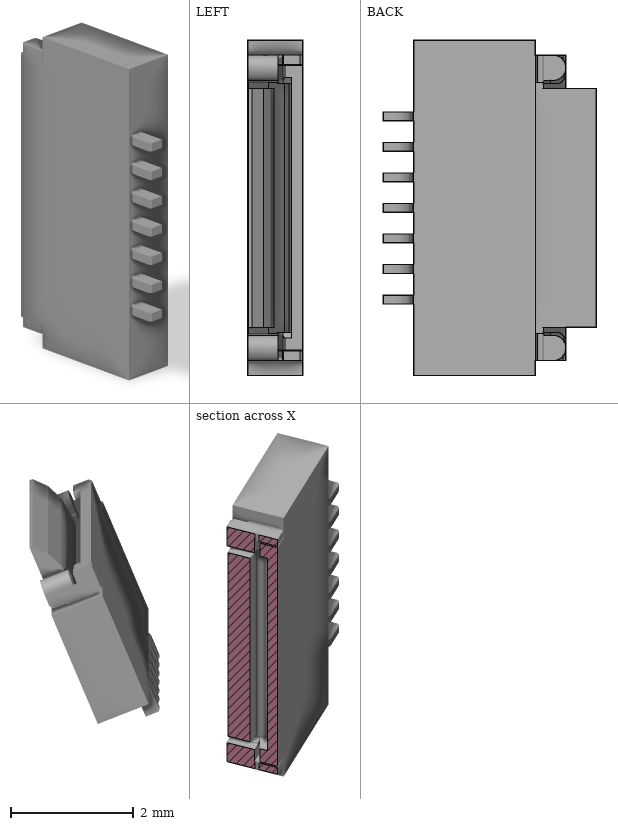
import cadquery as cq
import math


length = 5.5
height = 0.9
total_depth = 3.5
tray_front = 0.5
housing_front = 1.0
housing_back = 3.0

tray_half_length = 2.33
mouth_half_length = 2.135
throat_half_length = 2.04
throat_front = 0.605
floor_height = 0.185
floor_lip_height = 0.225
floor_lip_run = 0.015
ramp_top_height = 0.295
floor_ramp_run = 0.07
cheek_height = 0.325
cheek_chamfer = 0.035
cheek_rear_height = 0.42

clip_outer = 2.5
clip_foot_inner = 2.35
foot_height = 0.335
foot_chamfer = 0.045
foot_lip_run = 0.05
foot_lip_drop = 0.015
slit_end = 0.755
arm_bottom = 0.405
arm_radius = 0.206
arm_back = 0.96
arm_corner_radius = 0.08
arm_joint_height = 0.6
arm_joint_chamfer = housing_front - arm_back
arm_fillet = 0.035

lever_half_length = 1.96
lever_top = 0.885
lever_tip_height = 0.83
lever_knee = (0.205, 0.645)
lever_bend = (0.49, 0.515)
lever_rear_height = 0.475
lever_rear_start = 0.85
lever_bar_front = 0.87
lever_bar_bottom = 0.56
lever_bar_half_length = clip_outer - 2 * arm_radius - arm_fillet

pin_count = 7
pin_pitch = 0.5
pin_width = 0.15
pin_height = 0.26
pin_root_run = 0.09
pin_root_rise = 0.05
pin_tip_chamfer = 0.035
pin_heel = 0.01


def extrude_along_z(points, z_min, z_max):
    """Prism with an X-Y outline between two Z levels."""
    return cq.Workplane("XY").workplane(offset=z_min).polyline(points).close().extrude(z_max - z_min)


def extrude_along_y(outline, y_min, y_max):
    """Prism of an outline drawn on the XZ plane between two Y levels."""
    return outline.extrude(y_min - y_max).translate((0, y_min, 0))


def make_housing():
    return cq.Workplane("XY").box(
        housing_back - housing_front, height, length, centered=(False, False, True)
    ).translate((housing_front, 0, 0))


def make_tray_floor():
    """Low floor that ends in a small lip and a ramp against the housing."""
    ramp_start = housing_front - floor_ramp_run
    outline = [
        (tray_front, 0),
        (tray_front, floor_height),
        (ramp_start - floor_lip_run, floor_height),
        (ramp_start, floor_lip_height),
        (housing_front, ramp_top_height),
        (housing_front, 0),
    ]
    return extrude_along_z(outline, -mouth_half_length, mouth_half_length)


def make_cheek():
    """Raised side of the tray, its inner front corner cut back to widen the mouth."""
    outline = [
        (tray_front, 0),
        (tray_front, cheek_height - cheek_chamfer),
        (tray_front + cheek_chamfer, cheek_height),
        (slit_end, cheek_height),
        (housing_front, cheek_rear_height),
        (housing_front, 0),
    ]
    cheek = extrude_along_z(outline, throat_half_length, tray_half_length)
    mouth_taper = (
        cq.Workplane("XZ")
        .moveTo(tray_front, throat_half_length)
        .lineTo(tray_front, mouth_half_length)
        .lineTo(throat_front, throat_half_length)
        .close()
    )
    return cheek.cut(extrude_along_y(mouth_taper, floor_height, height))


def make_clip_foot():
    """Outer foot of a clip, with the post that carries the arm behind the round-ended slit."""
    slit_radius = (arm_bottom - foot_height) / 2
    return (
        cq.Workplane("XY")
        .workplane(offset=clip_foot_inner)
        .moveTo(tray_front, foot_chamfer)
        .lineTo(tray_front, foot_height - foot_lip_drop)
        .lineTo(tray_front + foot_lip_run, foot_height)
        .lineTo(slit_end - slit_radius, foot_height)
        .threePointArc((slit_end, foot_height + slit_radius), (slit_end - slit_radius, arm_bottom))
        .lineTo(housing_front, arm_bottom)
        .lineTo(housing_front, foot_chamfer)
        .lineTo(housing_front - foot_chamfer, 0)
        .lineTo(tray_front + foot_chamfer, 0)
        .close()
        .extrude(clip_outer - clip_foot_inner)
    )


def make_clip_arm():
    """Round-nosed arm above the slit, rounded off at its top rear corner and filleted into the bar."""
    nose_center = tray_front + arm_radius
    arm_inner = clip_outer - 2 * arm_radius
    plan = (
        cq.Workplane("XZ")
        .moveTo(housing_front, clip_outer)
        .lineTo(nose_center, clip_outer)
        .threePointArc((tray_front, clip_outer - arm_radius), (nose_center, arm_inner))
        .lineTo(lever_bar_front - arm_fillet, arm_inner)
        .tangentArcPoint((lever_bar_front, arm_inner - arm_fillet), relative=False)
        .lineTo(housing_front, arm_inner - arm_fillet)
        .close()
    )
    diagonal = arm_corner_radius * (1 - math.sqrt(0.5))
    side = (
        cq.Workplane("XY")
        .moveTo(tray_front, arm_bottom)
        .lineTo(tray_front, height)
        .lineTo(arm_back - arm_corner_radius, height)
        .threePointArc((arm_back - diagonal, height - diagonal), (arm_back, height - arm_corner_radius))
        .lineTo(arm_back, arm_joint_height + arm_joint_chamfer)
        .lineTo(housing_front, arm_joint_height)
        .lineTo(housing_front, arm_bottom)
        .close()
        .extrude(length)
    )
    return extrude_along_y(plan, arm_bottom, height).intersect(side)


def make_lever():
    """Pointed lever blade on a slightly longer bar against the housing."""
    blade = [
        (0, lever_top),
        (0, lever_tip_height),
        lever_knee,
        lever_bend,
        (lever_rear_start, lever_rear_height),
        (housing_front, lever_rear_height),
        (housing_front, lever_top),
    ]
    bar = [
        (lever_bar_front, lever_bar_bottom),
        (lever_bar_front, lever_top),
        (housing_front, lever_top),
        (housing_front, lever_bar_bottom),
    ]
    return extrude_along_z(blade, -lever_half_length, lever_half_length).union(
        extrude_along_z(bar, -lever_bar_half_length, lever_bar_half_length)
    )


def make_pin(z_center):
    outline = [
        (housing_back, pin_root_rise),
        (housing_back + pin_root_run, 0),
        (total_depth - pin_tip_chamfer, 0),
        (total_depth, pin_tip_chamfer),
        (total_depth, pin_height),
        (housing_back + pin_heel, pin_height),
        (housing_back, pin_height + pin_heel),
    ]
    return extrude_along_z(outline, z_center - pin_width / 2, z_center + pin_width / 2)


result = make_housing().union(make_tray_floor()).union(make_lever())

for end_piece in (make_cheek(), make_clip_foot(), make_clip_arm()):
    result = result.union(end_piece).union(end_piece.mirror("XY"))

for index in range(pin_count):
    result = result.union(make_pin((index - (pin_count - 1) / 2) * pin_pitch))